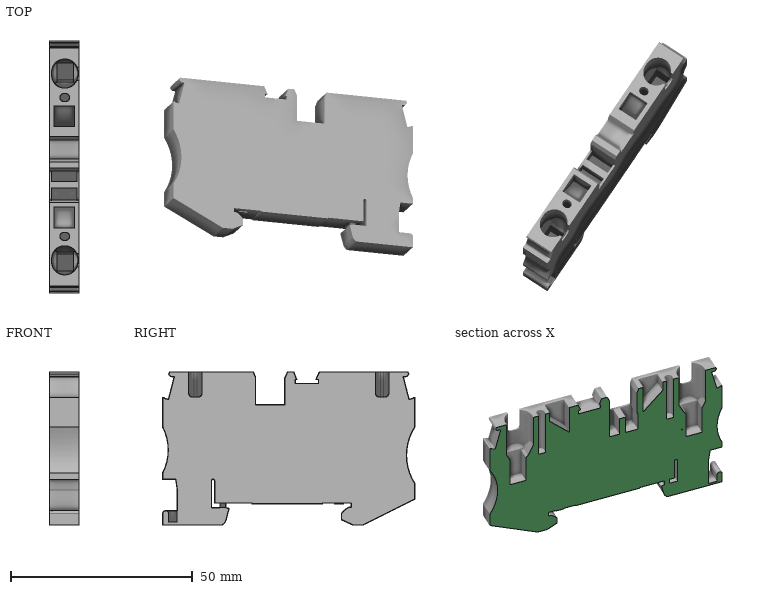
import cadquery as cq
import math

thickness = 8.1
length = 69.5
height = 42.2

lip_depth = 1.95
lip_nose_depth = 1.7
lip_nose_z = height - 0.6
lip_under_depth = 2.2
lip_under_z = height - 1.3
ledge_top_depth = 3.2
ledge_top_z = height - 1.4
ledge_floor_depth = 1.6
ledge_floor_z = 34.6
ridge_foot_depth = 0.6
ridge_foot_z = 34.9
ridge_depth = 0.4
ridge_z = 35.1

grip_top_z = 27.05
front_grip_bottom_z = 14.3
front_grip_sag = 1.5
rear_grip_bottom_z = 11.4
rear_grip_sag = 2.3

slot_front_y = 25.65
slot_rear_y = 33.65
slot_floor_z = 33.15
slot_front_chamfer = 0.6
slot_front_chamfer_height = 1.5
slot_rear_chamfer = 0.75
slot_rear_chamfer_height = 1.75

groove_front_y = 36.55
groove_rear_y = 42.9
groove_floor_z = 39.0
groove_lip_z = 40.0
groove_front_lip_y = 37.0
groove_rear_lip_y = 42.2
groove_front_top_y = 36.15
groove_rear_top_y = 43.15

rail_seat_z = 6.05
rear_corner_z = 7.15
hook_heel_y = 55.2
hook_toe_y = 52.4
hook_tip_y = 49.3
hook_tip_bottom_z = 1.45
hook_tip_top_z = 3.2
hook_throat_y = 51.9
hook_throat_z = 4.9
hook_ledge_y = 51.35
hook_bulge = (50.25, 4.25)

foot_top_z = 4.8
foot_tip_y = 18.35
foot_tip_z = 4.6
foot_tip_flat_y = 17.4
foot_tip_bend = (17.6, 1.7)
foot_tip_round = (17.2, 0.7)
foot_toe_y = 16.4
slit_front_y = 13.5
slit_rear_y = 14.3
slit_top_z = 12.6
recess_top_depth = 3.6
recess_depth = 4.0
recess_bend_z = 9.65
recess_floor_z = 3.95
recess_lip_radius = 0.8
recess_rim = 0.6
recess_well_depth = 3.1

pad_drop = 0.2
pad_width = thickness / 2
wide_pad_y = (24.7, 44.0)
small_pad_y = (47.3, 49.8)
post_y = (15.8, 17.45)

entry_end_distance = 9.05
entry_x = 0.15
entry_width = 7.2
entry_length = 8.0
entry_depth = 9.7
funnel_depth = 3.5
funnel_side_spread = funnel_depth
funnel_end_spread = funnel_depth / 2
throat_width = 4.6
throat_x = 0.3
throat_outer_reach = 4.2
throat_inner_reach = 3.4
throat_taper = 0.9
throat_taper_depth = 0.55
throat_depth = 8.35

notch_width = 3.75
notch_depth = 6.95
notch_corner_radius = 1.2

test_hole_end_distance = 15.65
test_hole_x = 0.15
test_hole_length = 2.65
test_hole_width = 2.2
test_hole_depth = 13.9
driver_end_distance = 20.8
driver_size = 5.8
driver_shallow_depth = 3.05
driver_deep_depth = driver_shallow_depth + driver_size

bridge_pocket_width = 7.0
bridge_pocket_depth = 5.55
bridge_pockets_y = ((25.3, 28.9), (30.8, slot_rear_y))


def box_between(x_range, y_range, z_range):
    """Box spanning the given ranges."""
    sizes = [top - bottom for bottom, top in (x_range, y_range, z_range)]
    corner = (x_range[0], y_range[0], z_range[0])
    return cq.Workplane("XY").box(*sizes, centered=False).translate(corner)


def centred_range(centre, size):
    return (centre - size / 2, centre + size / 2)


def widened(limits, margin):
    return (limits[0] - margin, limits[1] + margin)


def extrude_profile(sketch, width):
    """Close a YZ outline and extrude it symmetrically about X = 0."""
    return sketch.close().extrude(width / 2, both=True)


def ledge_points():
    """Marker ledge from the top face down to the end face, as (depth, z)."""
    return [
        (lip_depth, height),
        (lip_nose_depth, lip_nose_z),
        (lip_under_depth, lip_under_z),
        (ledge_top_depth, ledge_top_z),
        (ledge_floor_depth, ledge_floor_z),
        (ridge_foot_depth, ridge_foot_z),
        (ridge_depth, ridge_z),
        (0, ridge_z),
    ]


def make_housing():
    front_ledge = ledge_points()
    rear_ledge = [(length - depth, z) for depth, z in reversed(ledge_points())]
    front_grip_mid_z = (grip_top_z + front_grip_bottom_z) / 2
    rear_grip_mid_z = (grip_top_z + rear_grip_bottom_z) / 2
    slit_radius = (slit_rear_y - slit_front_y) / 2
    round_mid = recess_lip_radius * (1 - math.sqrt(0.5))
    slit_mid_y = (slit_rear_y + slit_front_y) / 2

    outline = cq.Workplane("YZ").moveTo(0, 0)
    outline = (
        outline.lineTo(0, recess_floor_z - recess_lip_radius)
        .threePointArc((round_mid, recess_floor_z - round_mid), (recess_lip_radius, recess_floor_z))
        .lineTo(recess_depth, recess_floor_z)
        .lineTo(recess_depth, recess_bend_z)
        .lineTo(recess_top_depth, slit_top_z)
        .lineTo(0, slit_top_z)
        .lineTo(0, front_grip_bottom_z)
        .threePointArc((front_grip_sag, front_grip_mid_z), (0, grip_top_z))
    )
    for point in reversed(front_ledge):
        outline = outline.lineTo(*point)
    outline = (
        outline.lineTo(slot_front_y - slot_front_chamfer, height)
        .lineTo(slot_front_y, height - slot_front_chamfer_height)
        .lineTo(slot_front_y, slot_floor_z)
        .lineTo(slot_rear_y, slot_floor_z)
        .lineTo(slot_rear_y, height - slot_rear_chamfer_height)
        .lineTo(slot_rear_y + slot_rear_chamfer, height)
        .lineTo(groove_front_top_y, height)
        .lineTo(groove_front_lip_y, groove_lip_z)
        .lineTo(groove_front_y, groove_lip_z)
        .lineTo(groove_front_y, groove_floor_z)
        .lineTo(groove_rear_y, groove_floor_z)
        .lineTo(groove_rear_y, groove_lip_z)
        .lineTo(groove_rear_lip_y, groove_lip_z)
        .lineTo(groove_rear_top_y, height)
    )
    for point in reversed(rear_ledge):
        outline = outline.lineTo(*point)
    outline = (
        outline.lineTo(length, grip_top_z)
        .threePointArc((length - rear_grip_sag, rear_grip_mid_z), (length, rear_grip_bottom_z))
        .lineTo(length, rear_corner_z)
    )
    outline = (
        outline.lineTo(hook_heel_y, 0)
        .lineTo(hook_toe_y, 0)
        .lineTo(hook_tip_y, hook_tip_bottom_z)
        .lineTo(hook_tip_y, hook_tip_top_z)
        .threePointArc(hook_bulge, (hook_ledge_y, hook_throat_z))
        .lineTo(hook_throat_y, hook_throat_z)
        .lineTo(hook_throat_y, rail_seat_z)
        .lineTo(slit_rear_y, rail_seat_z)
        .lineTo(slit_rear_y, slit_top_z - slit_radius)
        .threePointArc((slit_mid_y, slit_top_z), (slit_front_y, slit_top_z - slit_radius))
        .lineTo(slit_front_y, foot_top_z)
        .lineTo(foot_tip_flat_y, foot_top_z)
        .lineTo(foot_tip_y, foot_tip_z)
        .lineTo(*foot_tip_bend)
        .threePointArc(foot_tip_round, (foot_toe_y, 0))
    )
    return extrude_profile(outline, thickness)


def make_rail_contacts():
    """Thin pads below the rail seat and the post standing on the foot."""
    x_range = centred_range(0, pad_width)
    post = box_between(x_range, post_y, (foot_top_z, rail_seat_z))
    small_pad = box_between(x_range, small_pad_y, (rail_seat_z - pad_drop, rail_seat_z))
    wide_pad = box_between(
        centred_range(0, thickness), wide_pad_y, (rail_seat_z - pad_drop, rail_seat_z)
    )
    return post.union(small_pad).union(wide_pad)


def tapered_hole(top_z, top_x, top_y, bottom_z, bottom_x, bottom_y):
    """Rectangular frustum between two horizontal rectangles given as ranges."""
    def rectangle(x_range, y_range, z):
        corners = [(x, y, z) for x, y in (
            (x_range[0], y_range[0]),
            (x_range[1], y_range[0]),
            (x_range[1], y_range[1]),
            (x_range[0], y_range[1]),
        )]
        return cq.Wire.makePolygon([cq.Vector(*corner) for corner in corners], close=True)

    wires = [rectangle(top_x, top_y, top_z), rectangle(bottom_x, bottom_y, bottom_z)]
    return cq.Workplane(obj=cq.Solid.makeLoft(wires, True))


def make_conductor_entry(centre_y):
    """Obround well, funnel and square throat, open to the +X side by a notch."""
    inward = 0.7 if centre_y < length / 2 else -0.7
    well_floor_z = height - entry_depth
    funnel_floor_z = well_floor_z - funnel_depth
    throat_neck_z = funnel_floor_z - throat_taper_depth

    def obround(top_z, depth):
        return (
            cq.Workplane("XY", origin=(entry_x, centre_y, top_z))
            .slot2D(entry_length, entry_width, 90)
            .extrude(-depth)
        )

    def reach_range(inner_reach):
        return tuple(sorted((centre_y - inward * throat_outer_reach, centre_y + inward * inner_reach)))

    throat_x_range = centred_range(throat_x, throat_width)
    throat_top_y = reach_range(throat_inner_reach)
    throat_bottom_y = reach_range(throat_inner_reach - throat_taper)

    funnel = tapered_hole(
        well_floor_z, widened(throat_x_range, funnel_side_spread), widened(throat_top_y, funnel_end_spread),
        funnel_floor_z, throat_x_range, throat_top_y,
    ).intersect(obround(well_floor_z, funnel_depth))
    throat_guide = tapered_hole(
        funnel_floor_z, throat_x_range, throat_top_y,
        throat_neck_z, throat_x_range, throat_bottom_y,
    )
    throat = box_between(
        throat_x_range, throat_bottom_y, (throat_neck_z - throat_depth, throat_neck_z)
    )
    notch = box_between(
        (entry_x, thickness / 2), centred_range(centre_y, notch_width), (height - notch_depth, height)
    ).edges("|X and <Z").fillet(notch_corner_radius)
    well = obround(height, entry_depth)
    return well.union(funnel).union(throat_guide).union(throat).union(notch)


def make_recess_well():
    """Well in the recess floor, open to +X, leaving a full-round lip along the end."""
    well = box_between(
        (-thickness / 2 + recess_rim, thickness / 2),
        (recess_lip_radius, recess_depth),
        (recess_floor_z - recess_well_depth, recess_floor_z),
    )
    lip_centre_z = recess_floor_z - recess_lip_radius
    lip_round = (
        cq.Workplane("YZ", origin=(0, recess_lip_radius, lip_centre_z))
        .circle(recess_lip_radius)
        .extrude(thickness / 2, both=True)
    )
    lip_stem = box_between(
        centred_range(0, thickness), (0, 2 * recess_lip_radius), (0, lip_centre_z)
    )
    return well.cut(lip_round).cut(lip_stem)


def make_test_hole(centre_y):
    return (
        cq.Workplane("XY", origin=(test_hole_x, centre_y, height))
        .slot2D(test_hole_length, test_hole_width)
        .extrude(-test_hole_depth)
    )


def make_driver_pocket(centre_y):
    """Square pocket whose sloped floor deepens towards the middle of the housing."""
    inward = 1 if centre_y < length / 2 else -1
    outer_y = centre_y - inward * driver_size / 2
    inner_y = centre_y + inward * driver_size / 2
    outline = (
        cq.Workplane("YZ")
        .moveTo(outer_y, height)
        .lineTo(inner_y, height)
        .lineTo(inner_y, height - driver_deep_depth)
        .lineTo(outer_y, height - driver_shallow_depth)
    )
    return extrude_profile(outline, driver_size)


def make_bridge_pocket(y_range):
    z_range = (slot_floor_z - bridge_pocket_depth, slot_floor_z)
    return box_between(centred_range(0, bridge_pocket_width), y_range, z_range)


result = make_housing().union(make_rail_contacts())
result = result.cut(make_recess_well())
for end_distance, make_opening in (
    (entry_end_distance, make_conductor_entry),
    (test_hole_end_distance, make_test_hole),
    (driver_end_distance, make_driver_pocket),
):
    for opening_y in (end_distance, length - end_distance):
        result = result.cut(make_opening(opening_y))
for pocket_range in bridge_pockets_y:
    result = result.cut(make_bridge_pocket(pocket_range))